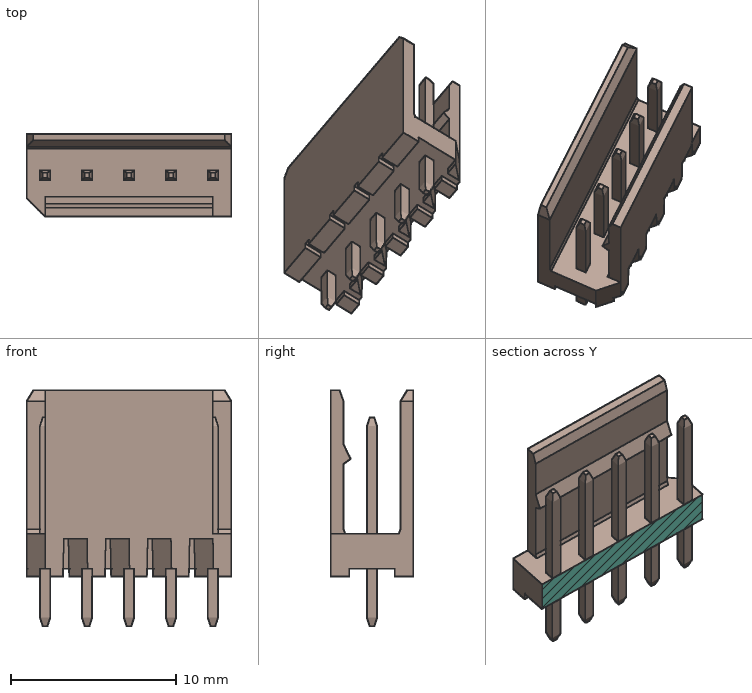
import cadquery as cq


LENGTH = 12.4
DEPTH = 5.0
TOTAL_HEIGHT = 14.3
BODY_BOTTOM = 3.02
FLOOR_BOTTOM = 3.49
FLOOR_TOP = 5.62
FOOT_DEPTH = 1.13
PIN_SLOT_WIDTH = 0.6

PIN_COUNT = 5
PIN_SPAN = 10.15
PIN_WIDTH = 0.63
PIN_TIP_WIDTH = 0.29
PIN_TOP = 12.64
PIN_TAPER = 0.53

WALL_THICKNESS = 0.79
LEAD_IN_HEIGHT = 0.67
BACK_LEAD_IN = 0.41
FRONT_LEAD_IN = 0.25
ROOT_WIDTH = 0.1
ROOT_HEIGHT = 0.26

LATCH_REACH = 0.43
LATCH_BOTTOM = 9.82
LATCH_PEAK = 10.14
LATCH_TOP = 11.01

NOTCH_TOP = 5.29
NOTCH_OFFSET = 1.13
NOTCH_DRAFT = 0.05

X_MIN = -LENGTH / 2
X_MAX = LENGTH / 2
Y_FRONT = -DEPTH / 2
Y_BACK = DEPTH / 2
PITCH = PIN_SPAN / (PIN_COUNT - 1)
PIN_XS = [-PIN_SPAN / 2 + i * PITCH for i in range(PIN_COUNT)]
END_MARGIN = (LENGTH - PIN_SPAN) / 2


def block(x0, x1, y0, y1, z0, z1):
    """Box given by its limits along the three axes."""
    return cq.Workplane("XY").box(x1 - x0, y1 - y0, z1 - z0, centered=False).translate((x0, y0, z0))


def extrude_along_x(points, x0, x1):
    """Extrude a closed (Y, Z) outline from x0 to x1."""
    return cq.Workplane("YZ", origin=(x0, 0, 0)).polyline(points).close().extrude(x1 - x0)


def make_base():
    """Floor with a foot under each long edge and one bevelled front corner."""
    base = block(X_MIN, X_MAX, Y_FRONT, Y_BACK, BODY_BOTTOM, FLOOR_TOP)
    base = base.edges("|Z and <X and <Y").chamfer(END_MARGIN)
    underside = block(X_MIN, X_MAX, Y_FRONT + FOOT_DEPTH, Y_BACK - FOOT_DEPTH, BODY_BOTTOM, FLOOR_BOTTOM)
    return base.cut(underside)


def make_back_wall():
    """Full-length wall with a sloped inner top edge, sloped top ends and a thickened root."""
    inner = Y_BACK - WALL_THICKNESS
    profile = [
        (Y_BACK, FLOOR_TOP),
        (Y_BACK, TOTAL_HEIGHT),
        (inner + BACK_LEAD_IN, TOTAL_HEIGHT),
        (inner, TOTAL_HEIGHT - LEAD_IN_HEIGHT),
        (inner, FLOOR_TOP + ROOT_HEIGHT),
        (inner - ROOT_WIDTH, FLOOR_TOP),
    ]
    end_outline = [
        (X_MIN, FLOOR_TOP),
        (X_MIN, TOTAL_HEIGHT - LEAD_IN_HEIGHT),
        (X_MIN + BACK_LEAD_IN, TOTAL_HEIGHT),
        (X_MAX - BACK_LEAD_IN, TOTAL_HEIGHT),
        (X_MAX, TOTAL_HEIGHT - LEAD_IN_HEIGHT),
        (X_MAX, FLOOR_TOP),
    ]
    silhouette = cq.Workplane("XZ").polyline(end_outline).close().extrude(DEPTH, both=True)
    return extrude_along_x(profile, X_MIN, X_MAX).intersect(silhouette)


def make_front_wall():
    """Latching wall that reaches from the first pin to the last."""
    inner = Y_FRONT + WALL_THICKNESS
    profile = [
        (Y_FRONT, FLOOR_TOP),
        (Y_FRONT, TOTAL_HEIGHT),
        (inner - FRONT_LEAD_IN, TOTAL_HEIGHT),
        (inner, TOTAL_HEIGHT - LEAD_IN_HEIGHT),
        (inner, LATCH_TOP),
        (inner + LATCH_REACH, LATCH_PEAK),
        (inner, LATCH_BOTTOM),
        (inner, FLOOR_TOP + ROOT_HEIGHT),
        (inner + ROOT_WIDTH, FLOOR_TOP),
    ]
    return extrude_along_x(profile, PIN_XS[0], PIN_XS[-1])


def make_notch(pin_x):
    """Notch after a pin: straight left side, flat back and a 45 degree right side."""
    next_pin_x = pin_x + PITCH

    def outline(growth):
        left = pin_x + NOTCH_OFFSET - growth
        right = next_pin_x + growth
        return [
            (left, Y_FRONT),
            (left, Y_FRONT + FOOT_DEPTH),
            (right - FOOT_DEPTH, Y_FRONT + FOOT_DEPTH),
            (right, Y_FRONT),
        ]

    return (
        cq.Workplane("XY", origin=(0, 0, BODY_BOTTOM))
        .polyline(outline(NOTCH_DRAFT)).close()
        .workplane(offset=NOTCH_TOP - BODY_BOTTOM)
        .polyline(outline(0)).close()
        .loft(ruled=True)
    )


def make_back_foot_gap(pin_x):
    """Gap through the back foot, in line with the flat back of a notch."""
    left = pin_x + NOTCH_OFFSET - NOTCH_DRAFT
    right = pin_x + PITCH - FOOT_DEPTH + NOTCH_DRAFT
    return block(left, right, Y_BACK - FOOT_DEPTH, Y_BACK, BODY_BOTTOM, FLOOR_BOTTOM)


def make_pin_slot(pin_x):
    """Slot through the front foot, slightly narrower than the pin behind it."""
    half = PIN_SLOT_WIDTH / 2
    return block(pin_x - half, pin_x + half, Y_FRONT, Y_FRONT + FOOT_DEPTH, BODY_BOTTOM, FLOOR_BOTTOM)


def make_pin(pin_x):
    """Square pin with a blunt pyramid at both ends."""
    half = PIN_WIDTH / 2
    shank = block(pin_x - half, pin_x + half, -half, half, PIN_TAPER, PIN_TOP - PIN_TAPER)

    def tip(base_z, tip_offset):
        return (
            cq.Workplane("XY", origin=(pin_x, 0, base_z))
            .rect(PIN_WIDTH, PIN_WIDTH)
            .workplane(offset=tip_offset)
            .rect(PIN_TIP_WIDTH, PIN_TIP_WIDTH)
            .loft(ruled=True)
        )

    return shank.union(tip(PIN_TAPER, -PIN_TAPER)).union(tip(PIN_TOP - PIN_TAPER, PIN_TAPER))


result = make_base().union(make_back_wall()).union(make_front_wall())
for x in PIN_XS[:-1]:
    result = result.cut(make_notch(x)).cut(make_back_foot_gap(x))
for x in PIN_XS:
    result = result.cut(make_pin_slot(x))
    result = result.union(make_pin(x))